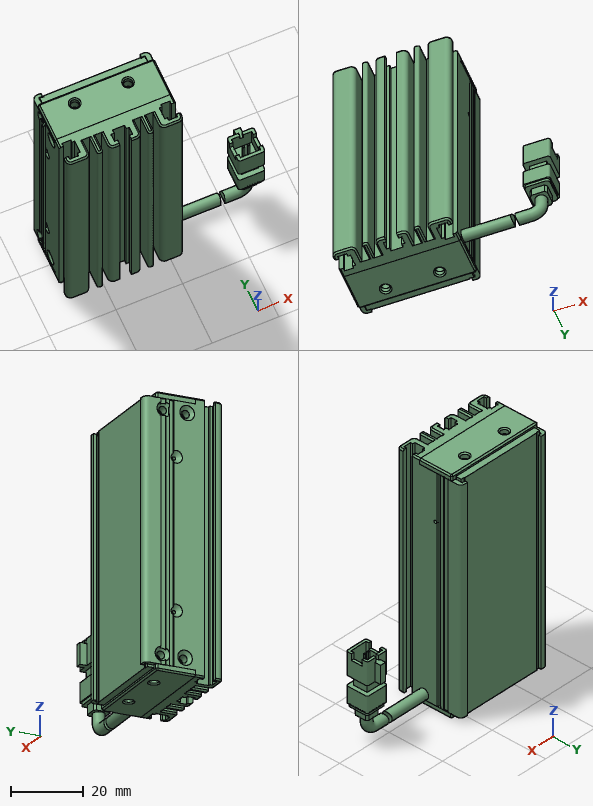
import cadquery as cq
import math

length = 82.0
width = 34.9
depth = 24.0
center_x = width / 2
end_chamfer = 0.5

base_front = 5.5
base_back = 8.5
fin_overlap = 1.2
foot_width = 6.9
center_fin_width = 9.7
thin_fin_width = 1.6
thin_fin_offset = 7.6
fin_corner_radius = 1.55
thin_fin_edge = 0.6

side_opening_low = 2.4
side_opening_high = 5.7
side_lip = 1.3
side_wide_depth = 3.9
side_wide_low = 1.5
side_wide_high = 6.7
side_full_depth = 4.75
side_inner_low = 2.3
side_inner_high = 6.0

tee_opening = 3.5
tee_inner = 5.4
tee_inner_low = 1.55
tee_inner_high = 3.85
tee_depth = 4.9

shoulder = 1.8
core_back = 20.5
wall = 1.55
lip_reach = 2.6
lip_thickness = 1.0
hook_radius = 1.5

window_width = 31.65
window_end_gap = 1.1
window_edge_back = 22.5
window_step = 0.25
window_step_inset = 1.2

shallow_groove = (17.5, 19.1, 0.4)
deep_groove = (15.1, 16.4, 0.65)

countersink_angle = 90.0
sink_radius = 2.2
bore_radius = 1.15
bore_depth = 4.1
pilot_radius = 0.8
pilot_depth = 4.9
drill_tip_angle = 118.0
mount_end_distance = 4.9
upper_mount_places = (18.0, 11.1)
lower_mount_places = (18.6, 11.7)

small_sink_radius = 1.9
small_bore_radius = 0.5
small_bore_depth = 3.3
small_hole_y = 14.4
small_hole_end_distance = 18.4

cap_hole_radius = 1.3
cap_hole_mouth_radius = 1.7
cap_hole_depth = 4.9
cap_hole_spacing = 16.0
cap_hole_y = 16.65

cable_radius = 1.8
cable_y = 10.1
cable_z = 3.7
break_radius = 4.1
stub_end_x = 49.6
tail_start_x = 50.8
bend_radius = 2.95

overall_width = 62.0
connector_width = 8.0
connector_x = overall_width - connector_width / 2
sleeve_bottom = 8.9
flange_bottom = 11.8
plug_bottom = 12.9
plug_top = 18.7
socket_bottom = 22.2
socket_top = 30.25
connector_corner_radius = 0.7
neck_width = 5.1
flange_width = 7.4
flange_corner_radius = 1.0
sleeve_chamfer = 0.65
socket_wall = 1.0
socket_depth = 6.6
side_notch_width = 4.0
side_notch_depth = 2.2
latch_slot_width = 1.0
latch_slot_depth = 1.55
latch_width = 2.0
latch_reach = 2.1

pin_spacing = 1.5
pin_width = 0.6
pin_drop = 0.7


def box(x0, x1, y0, y1, z0, z1):
    """A box between two opposite corners."""
    return cq.Workplane("XY").box(x1 - x0, y1 - y0, z1 - z0, centered=False).translate((x0, y0, z0))


def both_sides(solid):
    """A shape joined with its mirror image about the housing's middle plane."""
    return solid.union(solid.mirror("YZ", (center_x, 0, 0)))


def cone(radius_at_start, radius_at_end, height, start, direction):
    """A truncated or pointed cone along a direction."""
    solid = cq.Solid.makeCone(radius_at_start, radius_at_end, height, cq.Vector(*start), cq.Vector(*direction))
    return cq.Workplane(obj=solid)


def cylinder(radius, height, start, direction):
    """A cylinder along a direction."""
    solid = cq.Solid.makeCylinder(radius, height, cq.Vector(*start), cq.Vector(*direction))
    return cq.Workplane(obj=solid)


def drill_tip(radius, start, direction):
    """The pointed end of a drilled hole."""
    tip_height = radius / math.tan(math.radians(drill_tip_angle / 2))
    return cone(radius, 0, tip_height, start, direction)


def countersink_height(mouth_radius, small_radius):
    """Depth of a countersink between two radii."""
    return (mouth_radius - small_radius) / math.tan(math.radians(countersink_angle / 2))


def fin(x0, fin_width, corner_radius):
    """A fin over the full length, with eased tip corners and chamfered ends."""
    blank = box(x0, x0 + fin_width, 0, base_front + fin_overlap, 0, length)
    blank = blank.edges("|Z and <Y").fillet(corner_radius)
    return blank.faces("<Z or >Z").chamfer(end_chamfer)


def side_channel():
    """The stepped channel that opens to the -X side."""
    opening = box(0, side_full_depth, side_opening_low, side_opening_high, 0, length)
    pocket = box(side_lip, side_wide_depth, side_wide_low, side_wide_high, 0, length)
    inner = box(side_lip, side_full_depth, side_inner_low, side_inner_high, 0, length)
    return opening.union(pocket).union(inner)


def center_channel():
    """The T-slot in the center fin."""
    opening = box(center_x - tee_opening / 2, center_x + tee_opening / 2, 0, tee_depth, 0, length)
    inner = box(center_x - tee_inner / 2, center_x + tee_inner / 2, tee_inner_low, tee_inner_high, 0, length)
    return opening.union(inner)


def heat_sink():
    base = box(0, width, base_front, base_back, 0, length)
    base = base.edges("(<Z or >Z) and (<X or >X)").chamfer(end_chamfer)
    outer_fins = fin(0, foot_width, fin_corner_radius)
    thin_fin_x = center_x - thin_fin_offset - thin_fin_width / 2
    outer_fins = outer_fins.union(fin(thin_fin_x, thin_fin_width, thin_fin_edge))
    center_fin = fin(center_x - center_fin_width / 2, center_fin_width, fin_corner_radius)
    sink = base.union(both_sides(outer_fins)).union(center_fin)
    return sink.cut(both_sides(side_channel())).cut(center_channel())


def hook():
    """The -X wall with its rounded lip."""
    top = length - shoulder
    upright = box(0, lip_reach, base_back, depth, shoulder, top)
    upright = upright.edges("|Z and <X and >Y").fillet(hook_radius)
    return upright.cut(box(wall, lip_reach, core_back, depth - lip_thickness, shoulder, top))


def side_groove(y0, y1, groove_depth):
    return box(0, groove_depth, y0, y1, 0, length)


def mount_hole(y, z):
    """A countersunk hole from the -X side, with a narrower pilot hole below it."""
    inward = (1, 0, 0)
    sink = cone(sink_radius, bore_radius, countersink_height(sink_radius, bore_radius), (0, y, z), inward)
    bore = cylinder(bore_radius, bore_depth, (0, y, z), inward)
    pilot = cylinder(pilot_radius, pilot_depth, (0, y, z), inward)
    return sink.union(bore).union(pilot).union(drill_tip(pilot_radius, (pilot_depth, y, z), inward))


def small_hole(z, bore_length):
    """A narrow countersunk hole from the -X side."""
    start = (0, small_hole_y, z)
    sink_height = countersink_height(small_sink_radius, small_bore_radius)
    sink = cone(small_sink_radius, small_bore_radius, sink_height, start, (1, 0, 0))
    return sink.union(cylinder(small_bore_radius, bore_length, start, (1, 0, 0)))


def blind_small_hole(z):
    tip_start = (small_bore_depth, small_hole_y, z)
    return small_hole(z, small_bore_depth).union(drill_tip(small_bore_radius, tip_start, (1, 0, 0)))


def cap_holes():
    """Two drilled holes with chamfered mouths from each end of the housing."""
    holes = cq.Workplane("XY")
    mouth_height = countersink_height(cap_hole_mouth_radius, cap_hole_radius)
    for x in (center_x - cap_hole_spacing / 2, center_x + cap_hole_spacing / 2):
        for end_z, inward in ((0, 1), (length, -1)):
            start = (x, cap_hole_y, end_z)
            tip_start = (x, cap_hole_y, end_z + inward * cap_hole_depth)
            axis = (0, 0, inward)
            holes = holes.union(cylinder(cap_hole_radius, cap_hole_depth, start, axis))
            holes = holes.union(cone(cap_hole_mouth_radius, cap_hole_radius, mouth_height, start, axis))
            holes = holes.union(drill_tip(cap_hole_radius, tip_start, axis))
    return holes


def make_housing():
    body = heat_sink()
    body = body.union(box(0, width, base_back, core_back, shoulder, length - shoulder))
    body = body.union(both_sides(hook()))
    grooves = side_groove(*shallow_groove).union(side_groove(*deep_groove))
    body = body.cut(both_sides(grooves))
    for y in upper_mount_places:
        body = body.cut(mount_hole(y, length - mount_end_distance))
    for y in lower_mount_places:
        body = body.cut(mount_hole(y, mount_end_distance))
    body = body.cut(small_hole(length - small_hole_end_distance, width))
    body = body.cut(blind_small_hole(small_hole_end_distance))
    return body.cut(cap_holes())


def make_top_cap():
    """Plate on the shoulder, chamfered on its three free sides."""
    plate = box(0, width, base_back, core_back, length - shoulder, length)
    plate = plate.edges("|Z and >Y").chamfer(end_chamfer)
    plate = plate.faces(">Z").edges("not <Y").chamfer(end_chamfer)
    return plate.cut(cap_holes())


def make_bottom_cap():
    return make_top_cap().mirror("XY", (0, 0, length / 2))


def make_window():
    """Plate behind the hooks, with a slightly raised middle between the lips."""
    window_end_x = wall + window_width
    window_top = length - window_end_gap
    plate = box(wall, window_end_x, core_back, window_edge_back, window_end_gap, window_top)
    middle = box(
        wall + window_step_inset,
        window_end_x - window_step_inset,
        core_back,
        window_edge_back + window_step,
        window_end_gap,
        window_top,
    )
    return plate.union(middle)


def break_cutter(cut_x):
    """The cylinder across the cable that shapes its break faces."""
    start = (cut_x + break_radius, cable_y - 2 * cable_radius, cable_z)
    return cylinder(break_radius, 4 * cable_radius, start, (0, 1, 0))


def make_cable_stub():
    overrun = cable_radius
    stub = cylinder(cable_radius, stub_end_x + overrun - width, (width, cable_y, cable_z), (1, 0, 0))
    return stub.cut(break_cutter(stub_end_x))


def cable_tail():
    """Cable that starts at the break, turns upward and enters the sleeve."""
    elbow_x = connector_x - bend_radius
    run = cylinder(cable_radius, elbow_x - tail_start_x, (tail_start_x, cable_y, cable_z), (1, 0, 0))
    blunt_end = box(tail_start_x, tail_start_x + cable_radius, 0, depth, 0, 2 * cable_z)
    run = run.cut(blunt_end.cut(break_cutter(tail_start_x)))
    elbow = (
        cq.Workplane("YZ", origin=(elbow_x, cable_y, cable_z))
        .circle(cable_radius)
        .revolve(90, (0, bend_radius, 0), (-1, bend_radius, 0))
    )
    elbow_top = cable_z + bend_radius
    riser = cylinder(cable_radius, sleeve_bottom - elbow_top, (connector_x, cable_y, elbow_top), (0, 0, 1))
    return run.union(elbow).union(riser)


def square_post(post_width, z0, z1):
    """A square post on the connector's axis."""
    return (
        cq.Workplane("XY", origin=(connector_x, cable_y, z0)).rect(post_width, post_width).extrude(z1 - z0)
    )


def socket():
    """Open box with a cavity, a notch in each side wall and a latch on the +Y wall."""
    half = connector_width / 2
    block = square_post(connector_width, socket_bottom, socket_top)
    block = block.edges("|Z").fillet(connector_corner_radius)
    latch = box(
        connector_x - latch_width / 2,
        connector_x + latch_width / 2,
        cable_y + half - socket_wall / 2,
        cable_y + half + latch_reach,
        socket_bottom,
        socket_top - latch_slot_depth,
    )
    cavity = square_post(connector_width - 2 * socket_wall, socket_top - socket_depth, socket_top)
    notches = box(
        connector_x - half,
        connector_x + half,
        cable_y - side_notch_width / 2,
        cable_y + side_notch_width / 2,
        socket_top - side_notch_depth,
        socket_top,
    )
    latch_slot = box(
        connector_x - latch_slot_width / 2,
        connector_x + latch_slot_width / 2,
        cable_y,
        cable_y + half,
        socket_top - latch_slot_depth,
        socket_top,
    )
    return block.union(latch).cut(cavity).cut(notches).cut(latch_slot)


def make_connector():
    sleeve = square_post(neck_width, sleeve_bottom, flange_bottom).edges("|Z").chamfer(sleeve_chamfer)
    flange = square_post(flange_width, flange_bottom, plug_bottom).edges("|Z").fillet(flange_corner_radius)
    plug = square_post(connector_width, plug_bottom, plug_top).edges("|Z").fillet(connector_corner_radius)
    neck = square_post(neck_width, plug_top, socket_bottom)
    return cable_tail().union(sleeve).union(flange).union(plug).union(neck).union(socket())


def make_pin(x):
    floor_z = socket_top - socket_depth
    pin_length = socket_depth - pin_drop
    return cq.Workplane("XY", origin=(x, cable_y, floor_z)).rect(pin_width, pin_width).extrude(pin_length)


housing = make_housing()
top_cap = make_top_cap()
bottom_cap = make_bottom_cap()
window = make_window()
cable_stub = make_cable_stub()
connector = make_connector()
pins = [make_pin(connector_x + side * pin_spacing / 2) for side in (-1, 1)]

result = cq.Compound.makeCompound(
    [
        housing.val(),
        top_cap.val(),
        bottom_cap.val(),
        window.val(),
        cable_stub.val(),
        connector.val(),
        *[pin.val() for pin in pins],
    ]
)